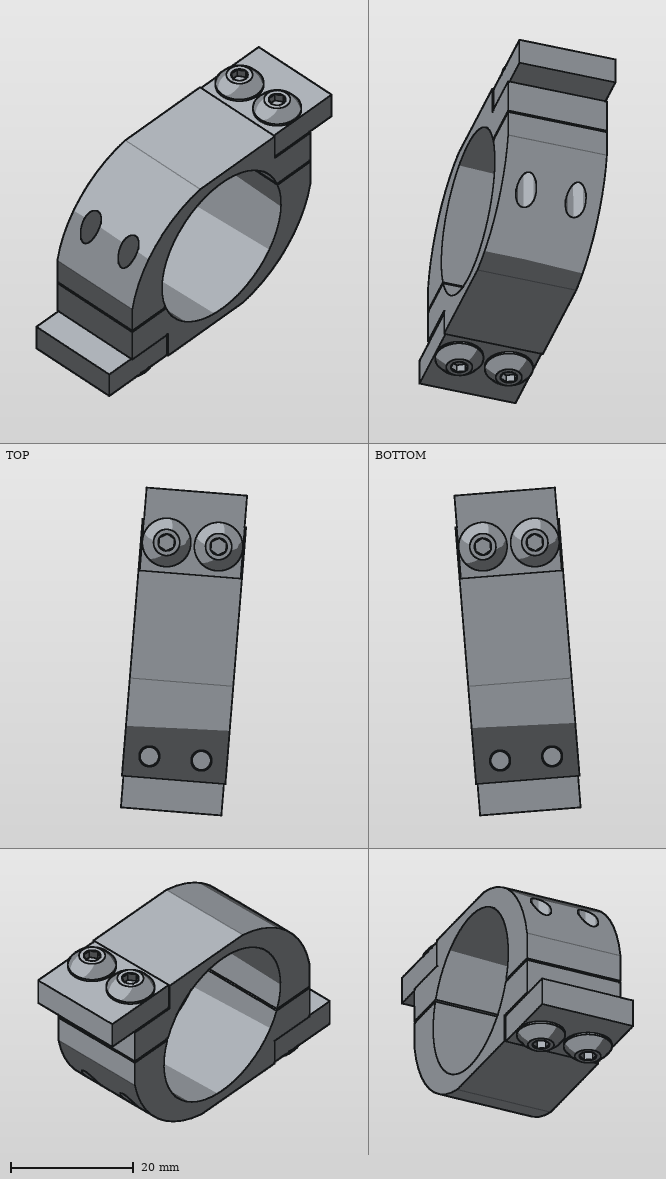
import cadquery as cq
import math

OVERALL_LENGTH = 53.55
TILT = 4.6

JAW_WIDTH = 16.95
JAW_LENGTH = 42.05
JAW_HEIGHT = 32.0
BORE_DIAMETER = 28.05
SHOULDER_START = 5.0
SHOULDER_RADIUS = 20.0
SPLIT_OFFSET = 4.9
SPLIT_GAP = 0.3

PLATE_WIDTH = 16.5
PLATE_LENGTH = 13.6
PLATE_THICKNESS = 4.8

SCREW_SPACING = 8.5
SCREW_POSITION = 17.5
HEAD_DIAMETER = 7.9
HEAD_TOP_DIAMETER = 4.3
HEAD_HEIGHT = 2.2
HEAD_RIM = 0.4
DOME_BULGE = 0.15
SHANK_DIAMETER = 4.1
SCREW_LENGTH = JAW_HEIGHT / 2
TIP_CHAMFER = 0.55
SOCKET_SIZE = 2.45
SOCKET_DEPTH = 1.5
SOCKET_MOUTH_DIAMETER = 2.8
TIP_HOLE_DIAMETER = 3.35

HALF_LENGTH = JAW_LENGTH / 2
TOP = JAW_HEIGHT / 2
TILT_COS = math.cos(math.radians(TILT))
TILT_SIN = math.sin(math.radians(TILT))
PLATE_OUTER = (OVERALL_LENGTH - PLATE_WIDTH * TILT_SIN) / TILT_COS / 2
PLATE_INNER = PLATE_OUTER - PLATE_LENGTH
PLATE_UNDERSIDE = TOP - PLATE_THICKNESS
SCREW_OFFSETS = [-SCREW_SPACING / 2, SCREW_SPACING / 2]


def rod(diameter, x, y, z_low, z_high):
    """Upright cylinder."""
    return cq.Workplane("XY", origin=(x, y, z_low)).circle(diameter / 2).extrude(z_high - z_low)


def box_between(width, y_low, y_high, z_low, z_high):
    """Box centred across the width."""
    return cq.Workplane("XY").box(width, y_high - y_low, z_high - z_low).translate(
        (0, (y_low + y_high) / 2, (z_low + z_high) / 2)
    )


def jaw_blank():
    """Side profile of the upper jaw, stepped inside the bore where the split changes height."""
    high_split = SPLIT_OFFSET + SPLIT_GAP / 2
    low_split = -SPLIT_OFFSET + SPLIT_GAP / 2
    return (
        cq.Workplane("YZ")
        .moveTo(HALF_LENGTH, high_split)
        .lineTo(HALF_LENGTH, TOP)
        .lineTo(-SHOULDER_START, TOP)
        .radiusArc((-HALF_LENGTH, 0), -SHOULDER_RADIUS)
        .lineTo(-HALF_LENGTH, low_split)
        .lineTo(0, low_split)
        .lineTo(0, high_split)
        .close()
        .extrude(JAW_WIDTH / 2, both=True)
    )


def make_jaw():
    """Upper jaw with its bore, plate seat and screw holes."""
    bore = cq.Workplane("YZ").circle(BORE_DIAMETER / 2).extrude(JAW_WIDTH / 2, both=True)
    plate_seat = box_between(JAW_WIDTH, PLATE_INNER, HALF_LENGTH, PLATE_UNDERSIDE, TOP)
    jaw = jaw_blank().cut(bore).cut(plate_seat)
    screw_tip = SCREW_LENGTH - TOP
    for x in SCREW_OFFSETS:
        jaw = jaw.cut(rod(SHANK_DIAMETER, x, SCREW_POSITION, 0, TOP))
        jaw = jaw.cut(rod(SHANK_DIAMETER, x, -SCREW_POSITION, -TOP, screw_tip))
        jaw = jaw.cut(rod(TIP_HOLE_DIAMETER, x, -SCREW_POSITION, screw_tip, TOP))
    return jaw


def make_plate():
    """Upper end plate with its screw holes."""
    plate = box_between(PLATE_WIDTH, PLATE_INNER, PLATE_OUTER, PLATE_UNDERSIDE, TOP)
    for x in SCREW_OFFSETS:
        plate = plate.cut(rod(SHANK_DIAMETER, x, SCREW_POSITION, PLATE_UNDERSIDE, TOP))
    return plate


def make_screw(x):
    """Button-head screw seated on the upper plate, shaped with the underside of its head at height 0."""
    shank_radius = SHANK_DIAMETER / 2
    rim_radius = HEAD_DIAMETER / 2
    top_radius = HEAD_TOP_DIAMETER / 2
    dome_middle = (
        (rim_radius + top_radius) / 2 + DOME_BULGE / math.sqrt(2),
        (HEAD_RIM + HEAD_HEIGHT) / 2 + DOME_BULGE / math.sqrt(2),
    )
    screw = (
        cq.Workplane("XZ")
        .moveTo(0, -SCREW_LENGTH)
        .lineTo(shank_radius - TIP_CHAMFER, -SCREW_LENGTH)
        .lineTo(shank_radius, -SCREW_LENGTH + TIP_CHAMFER)
        .lineTo(shank_radius, 0)
        .lineTo(rim_radius, 0)
        .lineTo(rim_radius, HEAD_RIM)
        .threePointArc(dome_middle, (top_radius, HEAD_HEIGHT))
        .lineTo(0, HEAD_HEIGHT)
        .close()
        .revolve(360, (0, 0), (0, 1))
    )
    socket = (
        cq.Workplane("XY", origin=(0, 0, HEAD_HEIGHT))
        .polygon(6, SOCKET_SIZE, circumscribed=True)
        .extrude(-SOCKET_DEPTH)
    )
    mouth_radius = SOCKET_MOUTH_DIAMETER / 2
    mouth = cq.Workplane(
        cq.Solid.makeCone(mouth_radius, 0, mouth_radius, pnt=(0, 0, HEAD_HEIGHT), dir=(0, 0, -1))
    )
    return screw.cut(socket).cut(mouth).translate((x, SCREW_POSITION, TOP))


def place(body, half_turn):
    """Solid of a body turned about the bore axis for its half of the clamp, then by the tilt."""
    in_half = body.rotate((0, 0, 0), (1, 0, 0), half_turn)
    return in_half.rotate((0, 0, 0), (0, 0, 1), -TILT).solids().val()


jaws = []
plates = []
screws = []
for half_turn in (0, 180):
    jaws.append(place(make_jaw(), half_turn))
    plates.append(place(make_plate(), half_turn))
    for screw_x in SCREW_OFFSETS:
        screws.append(place(make_screw(screw_x), half_turn))

result = cq.Compound.makeCompound([*jaws, *plates, *screws])